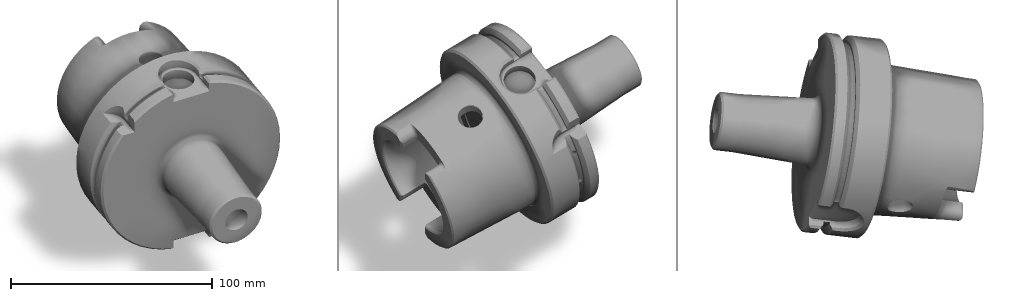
import cadquery as cq
import math


total_length = 129.0
shank_length = 49.9
flange_width = 29.0
flange_back = shank_length + flange_width
nose_taper_start = flange_back + 2.6
nose_taper_end = 118.7

flange_radius = 100.0 / 2
shank_end_radius = 35.5
shank_taper = 0.05
nose_root_radius = 16.8
nose_radius = 14.6

edge_clearance = 1.3

shank_rim_chamfer = 0.8
relief_length = 2.0
relief_depth = 0.5
relief_fillet = 1.3
face_recess_radius = 39.1
face_recess_depth = 0.6

flange_edge_chamfer = 1.0
groove_center = 69.8
groove_floor_width = 3.4
groove_mouth_width = 6.6
groove_floor_radius = 46.0
groove_flank_depth = 2.5
nose_fillet = nose_taper_start - flange_back
nose_end_chamfer = 1.0

bore_radius = 26.5
bore_chamfer = 0.6
bore_length = 19.7
cavity_radius = 32.2
cavity_flare_end = 41.2
cavity_depth = 47.7
floor_recess_radius = 25.7
floor_recess_depth = 0.6
socket_radius = 11.4
socket_chamfer = 1.0
socket_depth = 56.8
through_radius = 6.2

cross_hole_x = 34.8
cross_hole_radius = 6.2
cross_hole_chamfer = 0.4

slot_half_width = 20.0 / 2
slot_shoulder = 32.2
slot_corner_radius = 4.6
slot_floor_fillet = 1.4
slot_lead_in = 1.1
top_slot_depth = 9.7
bottom_slot_depth = 14.7

notch_half_width = slot_half_width
notch_center_x = 64.6
notch_floor = 44.0
notch_edge_chamfer = 1.3
pocket_radius = 8.0
pocket_depth = 5.2

corner_offset = 31.6
corner_cutter_radius = 10.3
corner_center_x = groove_center - groove_floor_width / 2

radial_hole_radius = 1.5
radial_hole_depth = 12.9
radial_hole_angles = [30.0, 5.0, -20.2, -30.0]


def turned_body():
    """Outer shape without bore and gripper groove."""
    relief_start = shank_length - relief_length
    shank_big_radius = shank_end_radius + shank_taper * relief_start
    neck_radius = shank_big_radius - relief_depth
    recess_x = shank_length + face_recess_depth
    relief_mid = (
        recess_x - relief_fillet * (1 - math.sqrt(0.5)),
        neck_radius + relief_fillet * (1 - math.sqrt(0.5)),
    )
    edge_radius = flange_radius - flange_edge_chamfer
    fillet_center = (nose_taper_start, nose_root_radius + nose_fillet)
    fillet_mid = (
        fillet_center[0] - nose_fillet * math.sin(math.pi / 4),
        fillet_center[1] - nose_fillet * math.cos(math.pi / 4),
    )
    return (
        cq.Workplane("XY")
        .moveTo(0, 0)
        .lineTo(0, shank_end_radius - shank_rim_chamfer)
        .lineTo(shank_rim_chamfer, shank_end_radius + shank_taper * shank_rim_chamfer)
        .lineTo(relief_start, shank_big_radius)
        .lineTo(relief_start + relief_depth, neck_radius)
        .lineTo(recess_x - relief_fillet, neck_radius)
        .threePointArc(relief_mid, (recess_x, neck_radius + relief_fillet))
        .lineTo(recess_x, face_recess_radius)
        .lineTo(shank_length, face_recess_radius)
        .lineTo(shank_length, edge_radius)
        .lineTo(shank_length + flange_edge_chamfer, flange_radius)
        .lineTo(flange_back - flange_edge_chamfer, flange_radius)
        .lineTo(flange_back, edge_radius)
        .lineTo(flange_back, fillet_center[1])
        .threePointArc(fillet_mid, (nose_taper_start, nose_root_radius))
        .lineTo(nose_taper_end, nose_radius)
        .lineTo(total_length - nose_end_chamfer, nose_radius)
        .lineTo(total_length, nose_radius - nose_end_chamfer)
        .lineTo(total_length, 0)
        .close()
        .revolve(360, (0, 0, 0), (1, 0, 0))
    )


def bore():
    """Stepped cavity with a flared end, a socket and a through hole."""
    recess_floor = cavity_depth + floor_recess_depth
    return (
        cq.Workplane("XY")
        .moveTo(0, 0)
        .lineTo(0, bore_radius + bore_chamfer)
        .lineTo(bore_chamfer, bore_radius)
        .lineTo(bore_length, bore_radius)
        .lineTo(cavity_flare_end, cavity_radius)
        .lineTo(cavity_depth, cavity_radius)
        .lineTo(cavity_depth, floor_recess_radius)
        .lineTo(recess_floor, floor_recess_radius)
        .lineTo(recess_floor, socket_radius + socket_chamfer)
        .lineTo(recess_floor + socket_chamfer, socket_radius)
        .lineTo(socket_depth, socket_radius)
        .lineTo(socket_depth, through_radius)
        .lineTo(total_length, through_radius)
        .lineTo(total_length, 0)
        .close()
        .revolve(360, (0, 0, 0), (1, 0, 0))
    )


def cross_hole():
    """Hole through both walls of the shank, chamfered outside."""
    surface = shank_end_radius + shank_taper * cross_hole_x
    rim_height = 2 * cross_hole_chamfer
    hole = (
        cq.Workplane("XY", origin=(cross_hole_x, 0, -flange_radius))
        .circle(cross_hole_radius)
        .extrude(2 * flange_radius)
    )
    rim = (
        cq.Workplane("XY", origin=(cross_hole_x, 0, surface - rim_height))
        .circle(cross_hole_radius)
        .workplane(offset=rim_height)
        .circle(cross_hole_radius + cross_hole_chamfer)
        .loft()
    )
    return hole.union(rim).union(rim.mirror("XY"))


def drive_slot(depth):
    """Slot across the shank end, widening outward over rounded shoulders."""
    arc_start = slot_shoulder - slot_corner_radius
    arc_end = slot_half_width + slot_corner_radius
    arc_inset = slot_corner_radius * (1 - math.sqrt(0.5))
    arc_mid = (slot_half_width + arc_inset, slot_shoulder - arc_inset)
    top = flange_radius
    slot = (
        cq.Workplane("YZ")
        .moveTo(-slot_half_width, 0)
        .lineTo(slot_half_width, 0)
        .lineTo(slot_half_width, arc_start)
        .threePointArc(arc_mid, (arc_end, slot_shoulder))
        .lineTo(2 * arc_end, slot_shoulder)
        .lineTo(2 * arc_end, top)
        .lineTo(-2 * arc_end, top)
        .lineTo(-2 * arc_end, slot_shoulder)
        .lineTo(-arc_end, slot_shoulder)
        .threePointArc((-arc_mid[0], arc_mid[1]), (-slot_half_width, arc_start))
        .close()
        .extrude(depth)
        .faces(">X")
        .edges()
        .fillet(slot_floor_fillet)
    )
    lead_in = (
        cq.Workplane("XY")
        .moveTo(0, -slot_half_width - slot_lead_in)
        .lineTo(slot_lead_in, -slot_half_width)
        .lineTo(slot_lead_in, slot_half_width)
        .lineTo(0, slot_half_width + slot_lead_in)
        .close()
        .extrude(top)
    )
    return slot.union(lead_in)


def gripper_groove():
    """Ring-shaped cutter: flared at the flange surface, parallel walls below."""
    half_floor = groove_floor_width / 2
    half_mouth = groove_mouth_width / 2
    flank_radius = flange_radius - groove_flank_depth
    outside = flange_radius + edge_clearance
    return (
        cq.Workplane("XY")
        .moveTo(groove_center - half_mouth, outside)
        .lineTo(groove_center - half_mouth, flange_radius)
        .lineTo(groove_center - half_floor, flank_radius)
        .lineTo(groove_center - half_floor, groove_floor_radius)
        .lineTo(groove_center + half_floor, groove_floor_radius)
        .lineTo(groove_center + half_floor, flank_radius)
        .lineTo(groove_center + half_mouth, flange_radius)
        .lineTo(groove_center + half_mouth, outside)
        .close()
        .revolve(360, (0, 0, 0), (1, 0, 0))
    )


def round_ended_cutter(center_x, center_y, half_width, floor):
    """Upright cutter with a flat floor and a round end, running along +X past the nose."""
    base = cq.Workplane("XY", origin=(center_x, center_y, floor))
    return (
        base.moveTo(0, -half_width)
        .lineTo(total_length, -half_width)
        .lineTo(total_length, half_width)
        .lineTo(0, half_width)
        .threePointArc((-half_width, 0), (0, -half_width))
        .close()
        .extrude(flange_radius)
    )


def key_notches():
    """Material removed by the two opposite key notches, with chamfered edges."""
    disc = (
        cq.Workplane("YZ", origin=(shank_length, 0, 0))
        .circle(flange_radius)
        .extrude(flange_width)
    )
    cutter = round_ended_cutter(notch_center_x, 0, notch_half_width, notch_floor)
    rim_zone = cq.selectors.BoxSelector(
        (shank_length, -2 * notch_half_width, notch_floor + edge_clearance),
        (flange_back - edge_clearance, 2 * notch_half_width, flange_radius + edge_clearance),
    )
    back_edge_zone = cq.selectors.BoxSelector(
        (flange_back - edge_clearance, -edge_clearance, notch_floor - edge_clearance),
        (flange_back + edge_clearance, edge_clearance, notch_floor + edge_clearance),
    )
    notched = disc.cut(cutter).edges(rim_zone).edges("not |Z").chamfer(notch_edge_chamfer)
    notched = notched.edges(back_edge_zone).chamfer(flange_edge_chamfer)
    removed = disc.cut(notched)
    return removed.union(removed.mirror("XY"))


def key_pocket():
    """Round blind hole in the floor of the upper key notch."""
    return (
        cq.Workplane("XY", origin=(notch_center_x, 0, notch_floor - pocket_depth))
        .circle(pocket_radius)
        .extrude(flange_radius)
    )


def orientation_notch():
    """Square corner cut out of the flange with a round run-out."""
    center_y = -corner_offset - corner_cutter_radius
    return round_ended_cutter(corner_center_x, center_y, corner_cutter_radius, corner_offset)


def radial_hole(angle):
    """Small blind hole drilled from the groove toward the axis."""
    return (
        cq.Workplane("XZ", origin=(groove_center, -groove_floor_radius + radial_hole_depth, 0))
        .circle(radial_hole_radius)
        .extrude(radial_hole_depth + edge_clearance)
        .rotate((0, 0, 0), (1, 0, 0), -angle)
    )


result = (
    turned_body()
    .cut(bore())
    .cut(cross_hole())
    .cut(drive_slot(top_slot_depth))
    .cut(drive_slot(bottom_slot_depth).mirror("XY"))
    .cut(key_notches())
    .cut(key_pocket())
    .cut(orientation_notch())
    .cut(gripper_groove())
)
for hole_angle in radial_hole_angles:
    result = result.cut(radial_hole(hole_angle))